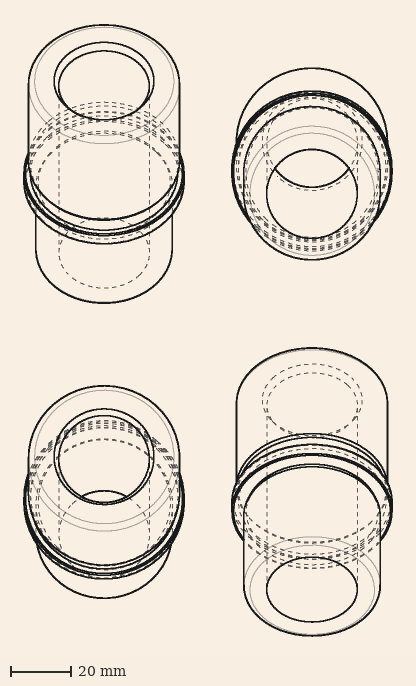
import cadquery as cq
import math

total_height = 90.0
flange_bottom = 37.0
flange_height = 4.9
flange_top = flange_bottom + flange_height
neck_top = 47.1
body_bottom = 48.2

flange_diameter = 53.0
body_diameter = 50.0
neck_diameter = 48.8
spigot_diameter = 45.2
bore_diameter = 30.0

end_radius = 2.0
undercut_height = 2.0
undercut_depth = 0.7
flange_chamfer_width = 0.5
flange_chamfer_height = 0.3
bore_chamfer_width = 1.5
bore_chamfer_height = 2.6

flange_radius = flange_diameter / 2
body_radius = body_diameter / 2
neck_radius = neck_diameter / 2
spigot_radius = spigot_diameter / 2
bore_radius = bore_diameter / 2
undercut_radius = spigot_radius - undercut_depth

undercut_arc_radius = (undercut_height**2 + undercut_depth**2) / (2 * undercut_depth)
undercut_half_angle = math.atan(undercut_depth / undercut_height)
undercut_mid_radius = undercut_radius + undercut_arc_radius * (1 - math.cos(undercut_half_angle))
undercut_mid_level = flange_bottom - undercut_arc_radius * math.sin(undercut_half_angle)


def make_blank():
    """Revolve the solid outer profile about Z, before the ends are rounded."""
    flange_edge_radius = flange_radius - flange_chamfer_width
    return (
        cq.Workplane("XZ")
        .lineTo(spigot_radius, 0)
        .lineTo(spigot_radius, flange_bottom - undercut_height)
        .threePointArc(
            (undercut_mid_radius, undercut_mid_level),
            (undercut_radius, flange_bottom),
        )
        .lineTo(flange_edge_radius, flange_bottom)
        .lineTo(flange_radius, flange_bottom + flange_chamfer_height)
        .lineTo(flange_radius, flange_top - flange_chamfer_height)
        .lineTo(flange_edge_radius, flange_top)
        .lineTo(neck_radius, flange_top)
        .lineTo(neck_radius, neck_top)
        .lineTo(body_radius, body_bottom)
        .lineTo(body_radius, total_height)
        .lineTo(0, total_height)
        .close()
        .revolve(360, (0, 0, 0), (0, 1, 0))
    )


def round_ends(blank):
    """Round the outer edge of both end faces."""
    return blank.faces("<Z or >Z").edges().fillet(end_radius)


def make_bore():
    """Through bore with a countersunk mouth at the top."""
    mouth_radius = bore_radius + bore_chamfer_width
    return (
        cq.Workplane("XZ")
        .lineTo(bore_radius, 0)
        .lineTo(bore_radius, total_height - bore_chamfer_height)
        .lineTo(mouth_radius, total_height)
        .lineTo(0, total_height)
        .close()
        .revolve(360, (0, 0, 0), (0, 1, 0))
    )


result = round_ends(make_blank()).cut(make_bore())